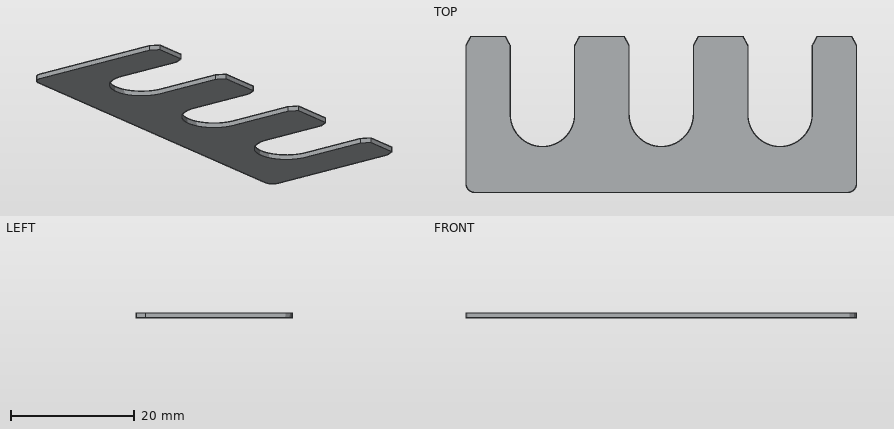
import cadquery as cq

plate_length = 63.5
plate_width = 25.4
plate_thickness = 0.81
corner_radius = 1.5

slot_count = 3
slot_pitch = 19.304
slot_width = 10.414
slot_depth = 17.9

tip_chamfer_x = 0.8
tip_chamfer_y = 1.52

tip_edge = plate_width / 2
side_edge = plate_length / 2


def make_plate():
    """Flat rectangular plate with rounded corners on its closed edge."""
    plate = cq.Workplane("XY").box(plate_length, plate_width, plate_thickness)
    return plate.edges("|Z and <Y").fillet(corner_radius)


def slot_cutter(center_x):
    """Round-bottomed slot, open at the tip edge."""
    radius = slot_width / 2
    bottom = tip_edge - slot_depth
    return (
        cq.Workplane("XY")
        .moveTo(center_x - radius, tip_edge)
        .lineTo(center_x - radius, bottom + radius)
        .threePointArc((center_x, bottom), (center_x + radius, bottom + radius))
        .lineTo(center_x + radius, tip_edge)
        .close()
        .extrude(plate_thickness, both=True)
    )


def tip_corner_cutter(corner_x, inward):
    """Triangle that bevels one finger-tip corner; inward is +1 or -1 along X."""
    return (
        cq.Workplane("XY")
        .moveTo(corner_x, tip_edge)
        .lineTo(corner_x + inward * tip_chamfer_x, tip_edge)
        .lineTo(corner_x, tip_edge - tip_chamfer_y)
        .close()
        .extrude(plate_thickness, both=True)
    )


slot_centers = [(i - (slot_count - 1) / 2) * slot_pitch for i in range(slot_count)]

result = make_plate()
for slot_x in slot_centers:
    result = result.cut(slot_cutter(slot_x))
    result = result.cut(tip_corner_cutter(slot_x - slot_width / 2, -1))
    result = result.cut(tip_corner_cutter(slot_x + slot_width / 2, 1))
result = result.cut(tip_corner_cutter(-side_edge, 1))
result = result.cut(tip_corner_cutter(side_edge, -1))